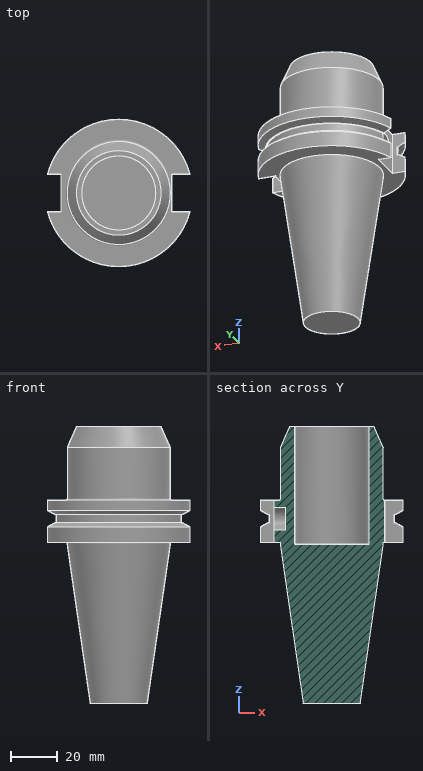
import cadquery as cq

TOTAL_LENGTH = 119.0
GAUGE_HEIGHT = 68.5
GAUGE_DIAMETER = 44.4
SMALL_END_DIAMETER = 24.5

FLANGE_DIAMETER = 63.3
FLANGE_BOTTOM = 69.2
FLANGE_TOP = 87.4
GROOVE_FLOOR_DIAMETER = 56.2
GROOVE_STEP_DIAMETER = 57.1
GROOVE_CENTRE_HEIGHT = 79.4
GROOVE_FLOOR_WIDTH = 3.5
GROOVE_MOUTH_WIDTH = 7.0

NOSE_DIAMETER = 44.3
NOSE_TIP_DIAMETER = 36.3
NOSE_CONE_LENGTH = 9.0
NOSE_ROOT_RADIUS = 0.7
BORE_DIAMETER = 31.8
BORE_DEPTH = TOTAL_LENGTH - GAUGE_HEIGHT

SLOT_WIDTH = 16.1
LEFT_SLOT_FLOOR = 24.9
RIGHT_SLOT_FLOOR = 22.9

SLOT_HOLE_DIAMETER = 9.5
SLOT_HOLE_DEPTH = 5.0


def make_turned_body():
    """Revolve the half profile of the shank, flange and nose about Z."""
    gauge_radius = GAUGE_DIAMETER / 2
    flange_radius = FLANGE_DIAMETER / 2
    floor_radius = GROOVE_FLOOR_DIAMETER / 2
    step_radius = GROOVE_STEP_DIAMETER / 2
    nose_radius = NOSE_DIAMETER / 2
    half_floor = GROOVE_FLOOR_WIDTH / 2
    half_mouth = GROOVE_MOUTH_WIDTH / 2
    return (
        cq.Workplane("XZ")
        .moveTo(0, 0)
        .lineTo(SMALL_END_DIAMETER / 2, 0)
        .lineTo(gauge_radius, GAUGE_HEIGHT)
        .lineTo(gauge_radius, FLANGE_BOTTOM)
        .lineTo(flange_radius, FLANGE_BOTTOM)
        .lineTo(flange_radius, GROOVE_CENTRE_HEIGHT - half_mouth)
        .lineTo(step_radius, GROOVE_CENTRE_HEIGHT - half_floor)
        .lineTo(floor_radius, GROOVE_CENTRE_HEIGHT - half_floor)
        .lineTo(floor_radius, GROOVE_CENTRE_HEIGHT + half_floor)
        .lineTo(step_radius, GROOVE_CENTRE_HEIGHT + half_floor)
        .lineTo(flange_radius, GROOVE_CENTRE_HEIGHT + half_mouth)
        .lineTo(flange_radius, FLANGE_TOP)
        .lineTo(nose_radius + NOSE_ROOT_RADIUS, FLANGE_TOP)
        .radiusArc((nose_radius, FLANGE_TOP + NOSE_ROOT_RADIUS), NOSE_ROOT_RADIUS)
        .lineTo(nose_radius, TOTAL_LENGTH - NOSE_CONE_LENGTH)
        .lineTo(NOSE_TIP_DIAMETER / 2, TOTAL_LENGTH)
        .lineTo(0, TOTAL_LENGTH)
        .close()
        .revolve(360, (0, 0, 0), (0, 1, 0))
    )


def make_bore():
    """Flat-bottomed tool bore running from the nose tip down to the gauge line."""
    return (
        cq.Workplane("XY", origin=(0, 0, TOTAL_LENGTH - BORE_DEPTH))
        .circle(BORE_DIAMETER / 2)
        .extrude(BORE_DEPTH)
    )


def make_drive_slot(floor_distance, side):
    """Slot through the flange height; side is -1 for -X and +1 for +X."""
    slot_depth = FLANGE_DIAMETER / 2 - floor_distance
    centre_x = side * (floor_distance + slot_depth / 2)
    centre_z = (FLANGE_BOTTOM + FLANGE_TOP) / 2
    return (
        cq.Workplane("XY", origin=(centre_x, 0, centre_z))
        .box(slot_depth, SLOT_WIDTH, FLANGE_TOP - FLANGE_BOTTOM)
    )


def make_slot_hole():
    """Blind hole running along +X from the floor of the left slot."""
    return (
        cq.Workplane("YZ", origin=(-LEFT_SLOT_FLOOR, 0, GROOVE_CENTRE_HEIGHT))
        .circle(SLOT_HOLE_DIAMETER / 2)
        .extrude(SLOT_HOLE_DEPTH)
    )


result = (
    make_turned_body()
    .cut(make_bore())
    .cut(make_drive_slot(LEFT_SLOT_FLOOR, -1))
    .cut(make_drive_slot(RIGHT_SLOT_FLOOR, 1))
    .cut(make_slot_hole())
)